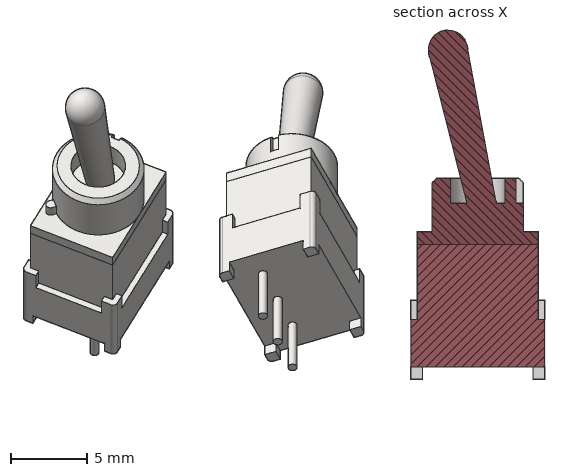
import cadquery as cq
import math

pin_tip_z = 0
feet_z = 3.12
underside_z = 3.92
window_sill_z = 7.05
frame_top_z = 8.32
seam_z = 11.98
box_top_z = 12.8
collar_top_z = 16.3
bore_floor_z = 14.65
lever_tip_z = 26

frame_x, frame_y = 6.8, 8.78
frame_corner_radius = 0.3
window_x, window_y = 4.78, 6.8
foot_gap_x, foot_gap_y = 5.22, 7.23

collar_diameter = 6.0
box_x, box_y = collar_diameter, 7.93
collar_chamfer = 0.3
bore_diameter = 3.55
keyway_width = 0.57
keyway_depth = 0.5

tab_width = 0.6
tab_height = 0.78
tab_reach = 3.3
tab_angle = 225

pin_diameter = 0.6
pin_pitch = 2.55
pin_offset_x = 1.0
pin_count = 3

ball_radius = 1.3
ball_y = -1.95
ball_z = lever_tip_z - ball_radius
lever_tilt = 12.4
lever_neck_radius = 0.9
lever_taper_length = 11.7


def block(size_x, size_y, bottom_z, top_z):
    """Box centred on the Z axis between two heights."""
    return (
        cq.Workplane("XY", origin=(0, 0, bottom_z))
        .rect(size_x, size_y)
        .extrude(top_z - bottom_z)
    )


def make_frame():
    frame = block(frame_x, frame_y, feet_z, frame_top_z)
    frame = frame.edges("|Z").fillet(frame_corner_radius)
    frame = frame.cut(block(window_x, frame_y, window_sill_z, frame_top_z))
    frame = frame.cut(block(frame_x, window_y, window_sill_z, frame_top_z))
    frame = frame.cut(block(foot_gap_x, frame_y, feet_z, underside_z))
    return frame.cut(block(frame_x, foot_gap_y, feet_z, underside_z))


def make_collar():
    collar = (
        cq.Workplane("XY", origin=(0, 0, box_top_z))
        .circle(collar_diameter / 2)
        .extrude(collar_top_z - box_top_z)
        .faces(">Z")
        .edges()
        .chamfer(collar_chamfer)
    )
    bore = (
        cq.Workplane("XY", origin=(0, 0, bore_floor_z))
        .circle(bore_diameter / 2)
        .extrude(collar_top_z - bore_floor_z)
    )
    keyway = block(keyway_width, 2 * keyway_depth, bore_floor_z, collar_top_z)
    keyway = keyway.translate((0, collar_diameter / 2, 0))
    return collar.cut(bore).cut(keyway)


def make_tab():
    inner_reach = (bore_diameter + collar_diameter) / 4
    bar = (
        cq.Workplane("XY", origin=(0, 0, box_top_z))
        .center((inner_reach + tab_reach) / 2, 0)
        .slot2D(tab_reach - inner_reach + tab_width, tab_width)
        .extrude(tab_height)
    )
    return bar.rotate((0, 0, 0), (0, 0, 1), tab_angle)


def make_terminals():
    return (
        cq.Workplane("XY", origin=(pin_offset_x, 0, pin_tip_z))
        .rarray(0.25, pin_pitch, 1, pin_count)
        .circle(pin_diameter / 2)
        .extrude(underside_z - pin_tip_z)
    )


def make_lever():
    arc_offset = ball_radius * math.sqrt(0.5)
    lever = (
        cq.Workplane("XZ")
        .moveTo(0, -lever_taper_length)
        .lineTo(lever_neck_radius, -lever_taper_length)
        .lineTo(ball_radius, 0)
        .threePointArc((arc_offset, arc_offset), (0, ball_radius))
        .close()
        .revolve(360, (0, 0), (0, 1))
        .rotate((0, 0, 0), (1, 0, 0), lever_tilt)
        .translate((0, ball_y, ball_z))
    )
    return lever.intersect(block(frame_x, frame_y, bore_floor_z, lever_tip_z))


def make_base():
    """Lower box with the skirt frame and the terminals."""
    box = block(box_x, box_y, underside_z, seam_z)
    return box.union(make_frame()).union(make_terminals())


def make_cover():
    """Top plate with the collar, the locating tab and the lever."""
    plate = block(box_x, box_y, seam_z, box_top_z)
    return plate.union(make_collar()).union(make_tab()).union(make_lever())


base = make_base()
cover = make_cover()

result = cq.Compound.makeCompound([base.solids().val(), cover.solids().val()])